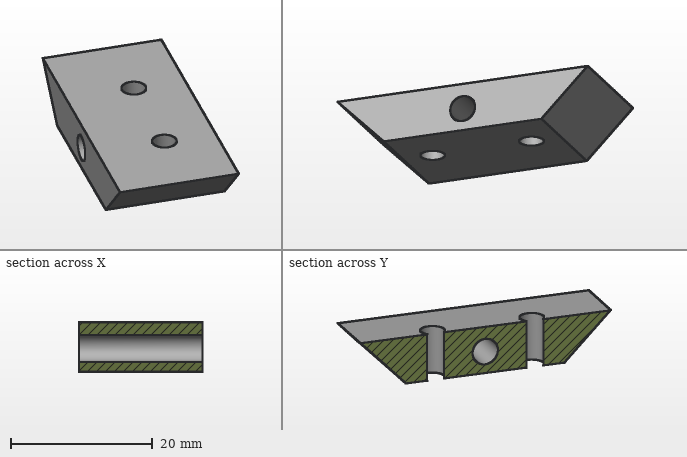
import cadquery as cq

length = 37.93
width = 17.5
height = 7.0
bottom_length = length - 2 * height

vertical_hole_diameter = 3.5
vertical_hole_spacing = 15.0
vertical_hole_from_back = 7.5

cross_hole_diameter = 3.75
cross_hole_below_top = 3.75


def make_block():
    """Trapezoid centred on X and Y, standing on Z = 0."""
    return (
        cq.Workplane("XZ")
        .polyline([
            (-bottom_length / 2, 0),
            (bottom_length / 2, 0),
            (length / 2, height),
            (-length / 2, height),
        ])
        .close()
        .extrude(width / 2, both=True)
    )


def make_vertical_holes():
    hole_y = width / 2 - vertical_hole_from_back
    return (
        cq.Workplane("XY")
        .pushPoints([(side * vertical_hole_spacing / 2, hole_y) for side in (-1, 1)])
        .circle(vertical_hole_diameter / 2)
        .extrude(height)
    )


def make_cross_hole():
    return (
        cq.Workplane("XZ")
        .center(0, height - cross_hole_below_top)
        .circle(cross_hole_diameter / 2)
        .extrude(width / 2, both=True)
    )


result = make_block().cut(make_vertical_holes()).cut(make_cross_hole())